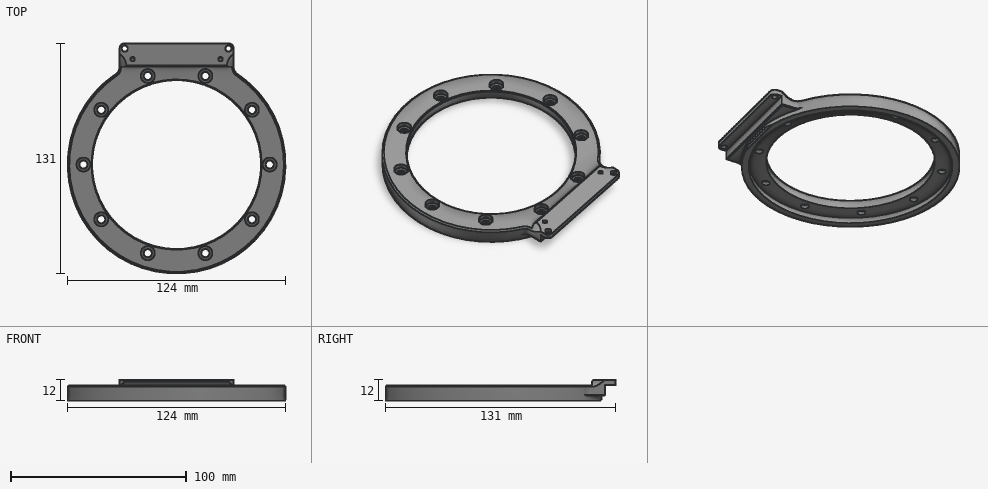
import cadquery as cq
import math

ring_radius = 62.0
bore_radius = 48.0
ring_height = 9.0
ring_chamfer = 1.0
bore_chamfer = 0.5
recess_radius = 58.0
recess_depth = 3.5

screw_count = 10
screw_circle_radius = 53.0
screw_diameter = 4.5
counterbore_diameter = 8.0
counterbore_depth = 3.0

tab_half_width = 32.5
tab_end_y = 69.0
tab_top_z = 12.0
tab_corner_radius = 3.0
tab_front_chamfer = 1.0
flange_bottom_z = 9.0
block_end_y = 63.0
block_bottom_z = 3.0
block_chamfer = 0.5

fillet_radius = 5.0
fillet_x = tab_half_width + fillet_radius
fillet_y = math.sqrt((ring_radius + fillet_radius) ** 2 - fillet_x ** 2)
tangent_ratio = ring_radius / (ring_radius + fillet_radius)
tangent_x = fillet_x * tangent_ratio
tangent_y = fillet_y * tangent_ratio
fillet_mid_angle = math.pi + math.atan2(fillet_y, fillet_x) / 2
fillet_mid_x = fillet_x + fillet_radius * math.cos(fillet_mid_angle)
fillet_mid_y = fillet_y + fillet_radius * math.sin(fillet_mid_angle)

flat_y = 61.0
flat_chamfer = 1.0

corner_hole_diameter = 3.4
corner_hole_x = tab_half_width - tab_corner_radius
corner_hole_y = tab_end_y - tab_corner_radius
pilot_diameter = 2.5
pilot_depth = 6.0
pilot_x = 25.0
pilot_y = 60.0
drill_tip_angle = 118.0

SIDES = (-1, 1)


def cylinder(radius, bottom_z, top_z, x=0.0, y=0.0):
    return cq.Workplane("XY", origin=(x, y, bottom_z)).circle(radius).extrude(top_z - bottom_z)


def cone(bottom_radius, top_radius, bottom_z, top_z, x=0.0, y=0.0):
    return cq.Workplane(
        cq.Solid.makeCone(bottom_radius, top_radius, top_z - bottom_z, cq.Vector(x, y, bottom_z))
    )


def make_base():
    """Plain lower disc, high enough to fill the block's lower chamfer along the ring itself.

    The circle is split where the fillets meet it, so that its edges match those above.
    """
    return (
        cq.Workplane("XY")
        .moveTo(tangent_x, tangent_y)
        .threePointArc((0, -ring_radius), (-tangent_x, tangent_y))
        .threePointArc((0, ring_radius), (tangent_x, tangent_y))
        .close()
        .extrude(block_bottom_z + block_chamfer)
    )


def make_ring_and_block():
    """Upper part of the ring with the block filleted into it, chamfered above and below."""
    outline = (
        cq.Workplane("XY", origin=(0, 0, block_bottom_z))
        .moveTo(-tab_half_width, block_end_y)
        .lineTo(tab_half_width, block_end_y)
        .lineTo(tab_half_width, fillet_y)
        .threePointArc((fillet_mid_x, fillet_mid_y), (tangent_x, tangent_y))
        .threePointArc((0, -ring_radius), (-tangent_x, tangent_y))
        .threePointArc((-fillet_mid_x, fillet_mid_y), (-tab_half_width, fillet_y))
        .close()
    )
    body = outline.extrude(ring_height - block_bottom_z)
    body = body.faces("<Z").edges().chamfer(block_chamfer)
    return body.faces(">Z").edges("%CIRCLE").chamfer(ring_chamfer)


def make_upper_block():
    """Top of the block, with its front top edge chamfered and its front corners bevelled.

    The bevels are 45 degree cones about the fillet axes, so they carry on the ring's chamfer.
    """
    start_z = ring_height - ring_chamfer
    height = tab_top_z - start_z
    block = (
        cq.Workplane("XY", origin=(0, fillet_y, start_z))
        .box(2 * tab_half_width, block_end_y - fillet_y, height, centered=(True, False, False))
        .edges("|X and <Y and >Z")
        .chamfer(tab_front_chamfer)
    )
    for side in SIDES:
        bevel = cone(fillet_radius, fillet_radius + height, start_z, tab_top_z, side * fillet_x, fillet_y)
        block = block.cut(bevel)
    return block


def make_flange():
    """Overhanging end of the tab with rounded corners."""
    length = tab_end_y - block_end_y
    return (
        cq.Workplane("XY", origin=(0, block_end_y, flange_bottom_z))
        .box(2 * tab_half_width, length, tab_top_z - flange_bottom_z, centered=(True, False, False))
        .edges("|Z and >Y")
        .fillet(tab_corner_radius)
    )


def cut_flat(body):
    """Flat below the block, with a 45 degree chamfer at the ring's bottom face."""
    profile = (
        cq.Workplane("YZ", origin=(-tab_half_width, 0, 0))
        .moveTo(flat_y - flat_chamfer, 0)
        .lineTo(flat_y, flat_chamfer)
        .lineTo(flat_y, block_bottom_z)
        .lineTo(block_end_y, block_bottom_z)
        .lineTo(block_end_y, 0)
        .close()
    )
    return body.cut(profile.extrude(2 * tab_half_width))


def cut_bore(body):
    """Bore with a chamfered top edge, opening into a wide recess in the bottom face."""
    body = body.cut(cylinder(recess_radius, 0, recess_depth))
    body = body.cut(cylinder(bore_radius, 0, ring_height))
    chamfer_start_z = ring_height - bore_chamfer
    return body.cut(cone(bore_radius, bore_radius + bore_chamfer, chamfer_start_z, ring_height))


def screw_circle_pins(diameter, bottom_z):
    """Pins on the screw circle, from the given level up to the ring's top face."""
    return (
        cq.Workplane("XY", origin=(0, 0, bottom_z))
        .polarArray(screw_circle_radius, 0, 360, screw_count)
        .circle(diameter / 2)
        .extrude(ring_height - bottom_z)
    )


def cut_screw_holes(body):
    body = body.cut(screw_circle_pins(screw_diameter, 0))
    return body.cut(screw_circle_pins(counterbore_diameter, ring_height - counterbore_depth))


def cut_tab_holes(body):
    """Through holes in the flange corners and blind drilled pilot holes in the block."""
    pilot_radius = pilot_diameter / 2
    pilot_floor_z = tab_top_z - pilot_depth
    tip_height = pilot_radius / math.tan(math.radians(drill_tip_angle / 2))
    corner_hole_radius = corner_hole_diameter / 2
    for side in SIDES:
        x = side * corner_hole_x
        body = body.cut(cylinder(corner_hole_radius, flange_bottom_z, tab_top_z, x, corner_hole_y))
        x = side * pilot_x
        body = body.cut(cylinder(pilot_radius, pilot_floor_z, tab_top_z, x, pilot_y))
        body = body.cut(cone(0, pilot_radius, pilot_floor_z - tip_height, pilot_floor_z, x, pilot_y))
    return body


body = make_base().union(make_ring_and_block()).union(make_upper_block()).union(make_flange())
body = cut_flat(body)
body = cut_bore(body)
body = cut_screw_holes(body)
result = cut_tab_holes(body)